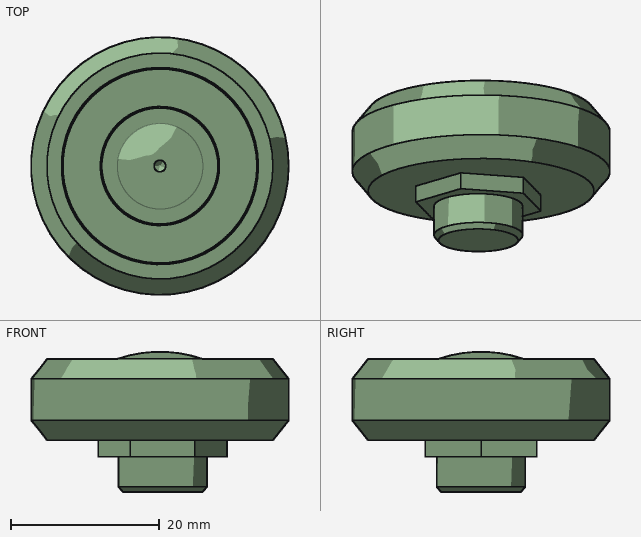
import cadquery as cq
import math

roller_radius = 17.35
roller_height = 10.95
bevel_height = 2.7
bevel_width = 2.15

shield_outer_radius = 13.05
shield_inner_radius = 8.0
wall_taper = 0.2
recess_depth = 0.28

dome_radius = 5.75
dome_height = 0.97
hole_radius = 0.8
hole_depth = 0.8

eccentricity = 0.38
hex_across_flats = 15.02
hex_height = 2.22
stub_radius = 5.95
stub_length = 4.75
stub_chamfer_height = 0.73
stub_chamfer_width = 0.62


def make_roller():
    """Disc with equal bevels on both rims."""
    rim_radius = roller_radius - bevel_width
    profile = [
        (0, 0),
        (rim_radius, 0),
        (roller_radius, bevel_height),
        (roller_radius, roller_height - bevel_height),
        (rim_radius, roller_height),
        (0, roller_height),
    ]
    return cq.Workplane("XZ").polyline(profile).close().revolve(360, (0, 0), (0, 1))


def make_shield_recess():
    """Shallow ring-shaped cutter that widens towards the upper face."""
    floor_z = roller_height - recess_depth
    profile = [
        (shield_inner_radius, floor_z),
        (shield_outer_radius, floor_z),
        (shield_outer_radius + wall_taper, roller_height),
        (shield_inner_radius - wall_taper, roller_height),
    ]
    return cq.Workplane("XZ").polyline(profile).close().revolve(360, (0, 0), (0, 1))


def make_dome():
    """Spherical cap on the upper face."""
    sphere_radius = (dome_radius**2 + dome_height**2) / (2 * dome_height)
    apex = roller_height + dome_height
    middle_x = dome_radius / 2
    middle_z = apex - sphere_radius + math.sqrt(sphere_radius**2 - middle_x**2)
    return (
        cq.Workplane("XZ")
        .moveTo(0, roller_height)
        .lineTo(dome_radius, roller_height)
        .threePointArc((middle_x, middle_z), (0, apex))
        .close()
        .revolve(360, (0, 0), (0, 1))
    )


def make_hole():
    """Conical cutter pointing down from the top of the dome."""
    apex = roller_height + dome_height
    return (
        cq.Workplane("XZ")
        .polyline([(0, apex - hole_depth), (hole_radius, apex), (0, apex)])
        .close()
        .revolve(360, (0, 0), (0, 1))
    )


def make_eccentric_base():
    """Hexagon with corners along X, and the chamfered stub beneath it."""
    hex_across_corners = hex_across_flats / math.cos(math.pi / 6)
    hexagon = (
        cq.Workplane("XY", origin=(eccentricity, 0, 0))
        .polygon(6, hex_across_corners)
        .extrude(-hex_height)
    )
    stub = (
        cq.Workplane("XY", origin=(eccentricity, 0, -hex_height))
        .circle(stub_radius)
        .extrude(-stub_length)
        .faces("<Z")
        .edges()
        .chamfer(stub_chamfer_height, stub_chamfer_width)
    )
    return hexagon.union(stub)


result = (
    make_roller()
    .union(make_dome())
    .union(make_eccentric_base())
    .cut(make_shield_recess())
    .cut(make_hole())
)